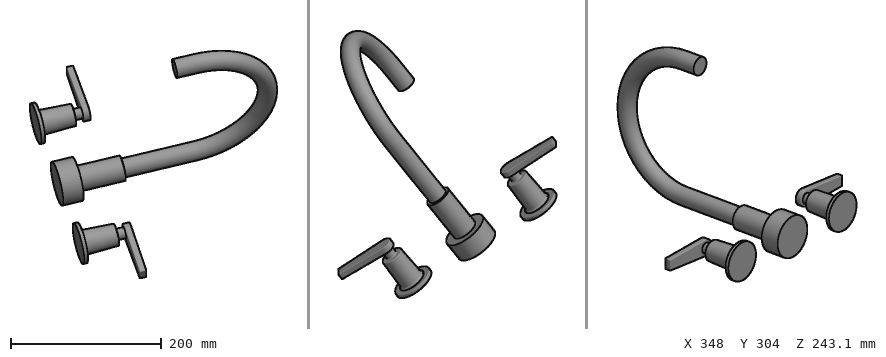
import cadquery as cq
import math

OVERALL_WIDTH = 348.0
OVERALL_DEPTH = 304.0

FLANGE_DIAMETER = 60.2
FLANGE_THICKNESS = 28.2
COLLAR_DIAMETER = 34.8
COLLAR_END = 90.0
TUBE_DIAMETER = 26.0
BEND_RADIUS = 100.0
OUTLET_LENGTH = 28.5

HANDLE_SPACING = 203.2
ROSE_DIAMETER = 56.0
ROSE_THICKNESS = 5.5
STEP_DIAMETER = 38.3
STEP_END = 7.3
HUB_BASE_DIAMETER = 34.0
HUB_TOP_DIAMETER = 30.5
HUB_END = 52.2
HUB_BASE_FILLET = 1.7
NECK_DIAMETER = 15.5

LEVER_START = 63.7
LEVER_THICKNESS = 9.5
LEVER_ROOT_RADIUS = 12.2
LEVER_TIP_WIDTH = 16.0

EDGE_RADIUS = 1.0

handle_offset = HANDLE_SPACING / 2
lever_reach = OVERALL_WIDTH / 2 - handle_offset
bend_start = OVERALL_DEPTH - BEND_RADIUS - TUBE_DIAMETER / 2
outlet_height = 2 * BEND_RADIUS


def wall_disc(diameter, height):
    """Solid cylinder on the Y axis, standing on the wall plane."""
    return cq.Workplane("XZ").circle(diameter / 2).extrude(-height)


def make_spout():
    """Flange, collar and a tube that bends back over half a circle."""
    flange = wall_disc(FLANGE_DIAMETER, FLANGE_THICKNESS)
    collar = wall_disc(COLLAR_DIAMETER, COLLAR_END)
    tube_path = (
        cq.Workplane("YZ")
        .moveTo(FLANGE_THICKNESS, 0)
        .lineTo(bend_start, 0)
        .threePointArc(
            (bend_start + BEND_RADIUS, BEND_RADIUS),
            (bend_start, outlet_height),
        )
        .lineTo(bend_start - OUTLET_LENGTH, outlet_height)
    )
    tube = (
        cq.Workplane("XZ", origin=(0, FLANGE_THICKNESS, 0))
        .circle(TUBE_DIAMETER / 2)
        .sweep(tube_path)
    )
    return flange.union(collar).union(tube)


def round_edge(stem, diameter, height, radius):
    """Fillet the circular edge of a given diameter and distance from the wall."""

    def matches(edge):
        same_size = math.isclose(edge.radius(), diameter / 2)
        return same_size and math.isclose(edge.arcCenter().y, height)

    return stem.edges("%CIRCLE").filter(matches).fillet(radius)


def make_handle_stem():
    """Turned rose, step, tapered hub and neck, as one revolved profile with eased edges."""
    stem = (
        cq.Workplane("XY")
        .lineTo(ROSE_DIAMETER / 2, 0)
        .lineTo(ROSE_DIAMETER / 2, ROSE_THICKNESS)
        .lineTo(STEP_DIAMETER / 2, ROSE_THICKNESS)
        .lineTo(STEP_DIAMETER / 2, STEP_END)
        .lineTo(HUB_BASE_DIAMETER / 2, STEP_END)
        .lineTo(HUB_TOP_DIAMETER / 2, HUB_END)
        .lineTo(NECK_DIAMETER / 2, HUB_END)
        .lineTo(NECK_DIAMETER / 2, LEVER_START)
        .lineTo(0, LEVER_START)
        .close()
        .revolve(360, (0, 0, 0), (0, 1, 0))
    )
    for diameter, height, radius in (
        (ROSE_DIAMETER, ROSE_THICKNESS, EDGE_RADIUS),
        (STEP_DIAMETER, STEP_END, EDGE_RADIUS),
        (HUB_BASE_DIAMETER, STEP_END, HUB_BASE_FILLET),
        (HUB_TOP_DIAMETER, HUB_END, EDGE_RADIUS),
        (NECK_DIAMETER, HUB_END, EDGE_RADIUS),
    ):
        stem = round_edge(stem, diameter, height, radius)
    return stem


def make_lever():
    """Flat lever toward +X whose straight sides are tangent to its round root."""
    tip_half_width = LEVER_TIP_WIDTH / 2
    tip_distance = math.hypot(lever_reach, tip_half_width)
    tip_angle = math.atan2(tip_half_width, lever_reach)
    tangent_angle = tip_angle + math.acos(LEVER_ROOT_RADIUS / tip_distance)
    tangent_x = LEVER_ROOT_RADIUS * math.cos(tangent_angle)
    tangent_z = LEVER_ROOT_RADIUS * math.sin(tangent_angle)
    return (
        cq.Workplane("XZ", origin=(0, LEVER_START, 0))
        .moveTo(lever_reach, -tip_half_width)
        .lineTo(lever_reach, tip_half_width)
        .lineTo(tangent_x, tangent_z)
        .threePointArc((-LEVER_ROOT_RADIUS, 0), (tangent_x, -tangent_z))
        .close()
        .extrude(-LEVER_THICKNESS)
        .faces("<Y or >Y or >X")
        .edges()
        .fillet(EDGE_RADIUS)
    )


def make_handle(side):
    """Handle on the +X side (side = 1) or the -X side (side = -1)."""
    handle = make_handle_stem().union(make_lever())
    if side < 0:
        handle = handle.mirror("YZ")
    return handle.translate((side * handle_offset, 0, 0))


spout = make_spout()
handles = [make_handle(side) for side in (-1, 1)]

result = cq.Compound.makeCompound([spout.val(), *[handle.val() for handle in handles]])